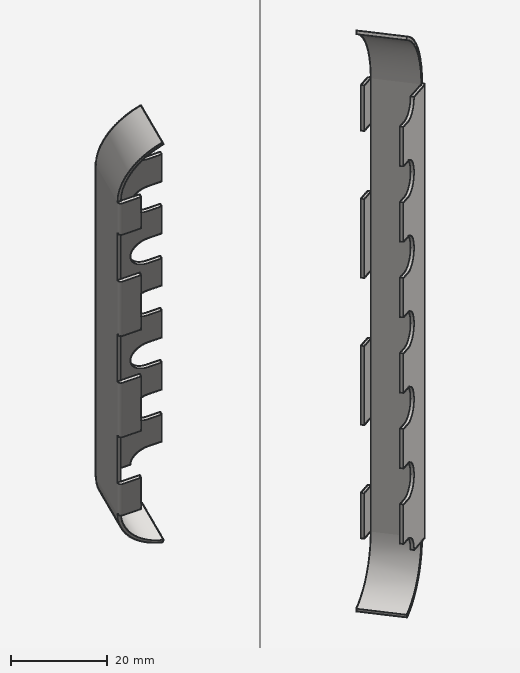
import cadquery as cq
import math

total_height = 129.1
width = 12.5
wall_depth = 15.0
thickness = 0.8
bend_radius = 0.76

notch_pitch = 16.8
pitch_count = 6
notch_radius = 4.0
notch_depth = 7.1
body_height = notch_pitch * pitch_count
half_body = body_height / 2

tab_depth = 5.0
tab_length = 17.5
tab_gap = 15.1

curl_radius = 15.0
curl_rise = (total_height - body_height) / 2
curl_angle = math.asin(curl_rise / curl_radius)

web_left = thickness
web_right = width - thickness


def upright_box(x_start, x_end, depth, z_start, z_end):
    """Box from Y = 0 back to the given depth, between two heights."""
    size = (x_end - x_start, depth, z_end - z_start)
    return cq.Workplane("XY").box(*size, centered=False).translate((x_start, 0, z_start))


def make_web():
    return upright_box(web_left, web_right, thickness, -half_body, half_body)


def make_wall():
    wall = upright_box(0, thickness, wall_depth, -half_body, half_body)
    wall = wall.edges("|Z and <X and <Y").fillet(bend_radius)
    notch_center = wall_depth - notch_depth + notch_radius
    for index in range(pitch_count + 1):
        height = -half_body + index * notch_pitch
        round_end = (
            cq.Workplane("YZ").center(notch_center, height)
            .circle(notch_radius).extrude(thickness)
        )
        mouth = (
            cq.Workplane("XY")
            .box(thickness, notch_depth - notch_radius, 2 * notch_radius, centered=(False, False, True))
            .translate((0, notch_center, height))
        )
        wall = wall.cut(round_end).cut(mouth)
    return wall


def make_tab(z_start, z_end):
    tab = upright_box(web_right, width, tab_depth, z_start, z_end)
    return tab.edges("|Z and >X and <Y").fillet(bend_radius)


def make_curl():
    """Upper end strip, curling back from the web on a tangent arc."""
    inner_radius = curl_radius - thickness

    def arc_point(radius, angle):
        return (curl_radius - radius * math.cos(angle), half_body + radius * math.sin(angle))

    return (
        cq.Workplane("YZ", origin=(web_left, 0, 0))
        .moveTo(*arc_point(curl_radius, 0))
        .threePointArc(arc_point(curl_radius, curl_angle / 2), arc_point(curl_radius, curl_angle))
        .lineTo(*arc_point(inner_radius, curl_angle))
        .threePointArc(arc_point(inner_radius, curl_angle / 2), arc_point(inner_radius, 0))
        .close()
        .extrude(web_right - web_left)
    )


inner_tab_start = tab_gap / 2
inner_tab_end = inner_tab_start + tab_length
end_tab_start = inner_tab_end + tab_gap

result = make_web().union(make_wall())
for z_start, z_end in ((inner_tab_start, inner_tab_end), (end_tab_start, half_body)):
    result = result.union(make_tab(z_start, z_end))
    result = result.union(make_tab(-z_end, -z_start))

upper_curl = make_curl()
result = result.union(upper_curl).union(upper_curl.mirror("XY"))